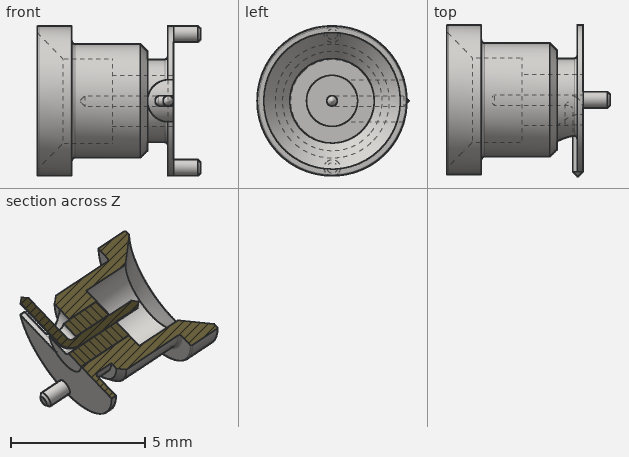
import cadquery as cq
import math

total_length = 6.1
leg_length = 1.02
flange_length = 1.3
barrel_end = 4.11
plate_back = total_length - leg_length
plate_thickness = 0.22
plate_front = plate_back - plate_thickness
bowl_depth = 0.95
socket_floor = 2.8

flange_radius = 2.795
barrel_radius = 2.12
neck_radius = 1.55
bowl_radius = 2.545
socket_radius = 1.575
insulator_radius = 0.95

flange_edge_radius = 0.055
flange_root_radius = 0.11
neck_root_radius = 0.11
barrel_chamfer = 0.27

leg_radius = 0.305
leg_chamfer = 0.11
leg_offset = flange_radius - leg_radius

wire_radius = 0.195
wire_bend_radius = 0.38
wire_point_length = 0.195
wire_front_tip = 1.575
wire_side_tip = 2.87
wire_axis_x = plate_back - wire_radius

side_slot_radius = 0.785
wire_slot_end = 4.39


def x_cylinder(radius, start, end):
    """Cylinder along the X axis between two stations."""
    return cq.Workplane("YZ", origin=(start, 0, 0)).circle(radius).extrude(end - start)


def side_slot(half_width, end_x):
    """Slot from the axis out through the -Y side, round at end_x and open past the back."""
    centre_x = end_x + half_width
    return (
        cq.Workplane("XZ")
        .moveTo(plate_back + half_width, half_width)
        .lineTo(centre_x, half_width)
        .threePointArc((end_x, 0), (centre_x, -half_width))
        .lineTo(plate_back + half_width, -half_width)
        .close()
        .extrude(2 * flange_radius)
    )


def make_shell():
    """Turned outside of the housing: flange, barrel, neck and back plate."""
    edge = flange_edge_radius
    root = flange_root_radius
    neck_root = neck_root_radius
    return (
        cq.Workplane("XY")
        .moveTo(0, 0)
        .lineTo(0, flange_radius - edge)
        .radiusArc((edge, flange_radius), edge)
        .lineTo(flange_length - edge, flange_radius)
        .radiusArc((flange_length, flange_radius - edge), edge)
        .lineTo(flange_length, barrel_radius + root)
        .radiusArc((flange_length + root, barrel_radius), -root)
        .lineTo(barrel_end - barrel_chamfer, barrel_radius)
        .lineTo(barrel_end, barrel_radius - barrel_chamfer)
        .lineTo(barrel_end, neck_radius)
        .lineTo(plate_front - neck_root, neck_radius)
        .radiusArc((plate_front, neck_radius + neck_root), -neck_root)
        .lineTo(plate_front, flange_radius)
        .lineTo(plate_back, flange_radius)
        .lineTo(plate_back, 0)
        .close()
        .revolve(360, (0, 0, 0), (1, 0, 0))
    )


def make_cavity():
    """Conical mouth, straight socket and insulator bore, as one turned tool."""
    return (
        cq.Workplane("XY")
        .moveTo(0, 0)
        .lineTo(0, bowl_radius)
        .lineTo(bowl_depth, socket_radius)
        .lineTo(socket_floor, socket_radius)
        .lineTo(socket_floor, insulator_radius)
        .lineTo(plate_back, insulator_radius)
        .lineTo(plate_back, 0)
        .close()
        .revolve(360, (0, 0, 0), (1, 0, 0))
    )


def make_leg(z):
    """Chamfered solder leg standing on the back of the plate."""
    leg = x_cylinder(leg_radius, plate_back, total_length)
    return leg.faces(">X").chamfer(leg_chamfer).translate((0, 0, z))


def make_housing():
    housing = make_shell().cut(make_cavity())
    housing = housing.cut(side_slot(side_slot_radius, barrel_end))
    for z in (-leg_offset, leg_offset):
        housing = housing.union(make_leg(z))
    return housing


def make_insulator():
    """Plug in the housing bore, with a wire hole that opens into a slot on the -Y side."""
    insulator = x_cylinder(insulator_radius, socket_floor, plate_back)
    insulator = insulator.cut(x_cylinder(wire_radius, socket_floor, plate_back))
    return insulator.cut(side_slot(wire_radius, wire_slot_end))


def make_point(base, direction):
    """Conical wire point."""
    return cq.Workplane(
        cq.Solid.makeCone(wire_radius, 0, wire_point_length, cq.Vector(*base), cq.Vector(*direction))
    )


def make_contact():
    """Pointed wire along X that bends towards -Y and ends in a second point."""
    front = wire_front_tip + wire_point_length
    side = wire_point_length - wire_side_tip
    bend_start = wire_axis_x - wire_bend_radius
    diagonal = wire_bend_radius * math.sqrt(0.5)
    path = (
        cq.Workplane("XY")
        .moveTo(front, 0)
        .lineTo(bend_start, 0)
        .threePointArc(
            (bend_start + diagonal, diagonal - wire_bend_radius),
            (wire_axis_x, -wire_bend_radius),
        )
        .lineTo(wire_axis_x, side)
    )
    wire = cq.Workplane("YZ", origin=(front, 0, 0)).circle(wire_radius).sweep(path)
    wire = wire.union(make_point((front, 0, 0), (-1, 0, 0)))
    return wire.union(make_point((wire_axis_x, side, 0), (0, -1, 0)))


housing = make_housing()
insulator = make_insulator()
contact = make_contact()

result = cq.Compound.makeCompound([housing.val(), insulator.val(), contact.val()])